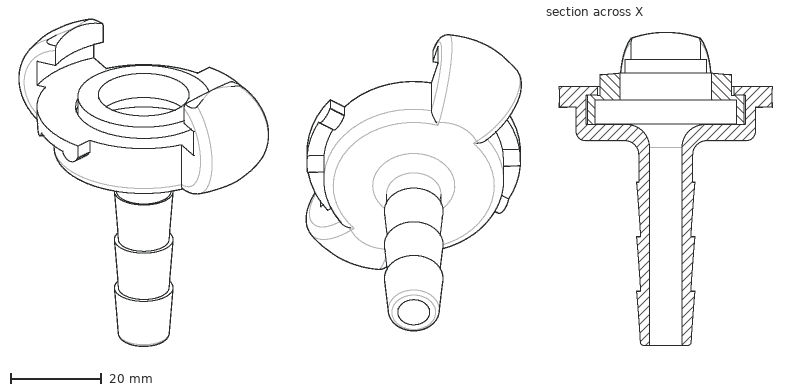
import cadquery as cq
import math

total_height = 68.9
jaw_radius = 12.0

flange_radius = 19.8
flange_fillet = 2.1
ramp_radius = 23.5
ramp_thickness = 3.0
bump_radius = 2.4
bump_height = -2.2
middle_bump_angle = 35.0

overall_length = 62.85
jaw_center = overall_length / 2 - jaw_radius
crown_radius = 20.7
crown_axis = overall_length / 2 - crown_radius
jaw_half_width_at_axis = 1.25
jaw_root = 11.7
jaw_taper = 18.0
jaw_fillet = 2.1
slot_radius = 25.5
slot_height = 5.9
tooth_radius = 21.0
tip_roof_radius = 22.75
jaw_top = math.sqrt(jaw_radius**2 - (tooth_radius - jaw_center)**2)

stem_bottom = jaw_top - total_height
stem_radius = 6.0
stem_fillet = 3.0
barb_count = 3
barb_length = 12.0
barb_top_radius = 6.5
barb_bottom_radius = 5.6
tip_fillet = 0.8

bore_radius = 3.5
mouth_radius = 8.7
seat_floor = -8.35
seat_mouth_radius = 30.0 / 2
seat_groove_radius = 35.0 / 2
seat_groove_top = -2.0

gasket_neck_radius = 29.0 / 2
gasket_flange_radius = 34.5 / 2
gasket_bore_radius = 10.0
gasket_undercut_radius = 15.6
gasket_undercut_top = -3.0
gasket_inner_top = 2.95
gasket_outer_top = 2.55


def cylinder(radius, bottom, top):
    return cq.Workplane("XY").workplane(offset=bottom).circle(radius).extrude(top - bottom)


def half_turn(shape):
    return shape.rotate((0, 0, 0), (0, 0, 1), 180)


def make_flange():
    disc = cylinder(flange_radius, -jaw_radius, 0)
    return disc.faces("<Z").edges().fillet(flange_fillet)


def make_detent(angle):
    """Half-round bar running radially outward, turned from -Y by the given angle."""
    bar = cq.Workplane("XZ").center(0, bump_height).circle(bump_radius).extrude(2 * ramp_radius)
    return bar.rotate((0, 0, 0), (0, 0, 1), -angle)


def make_ramp():
    """Quarter ramp from its end detent near -Y round to the -X jaw."""
    quarter = (
        cq.Workplane("XY")
        .workplane(offset=-jaw_radius)
        .moveTo(bump_radius, 0)
        .lineTo(bump_radius, -2 * ramp_radius)
        .lineTo(-2 * ramp_radius, -2 * ramp_radius)
        .lineTo(-2 * ramp_radius, 0)
        .close()
        .extrude(jaw_radius)
    )
    detents = make_detent(0).union(make_detent(middle_bump_angle))
    plate = cylinder(ramp_radius, -ramp_thickness, 0)
    detents = detents.intersect(cylinder(ramp_radius, -jaw_radius, 0))
    return plate.union(detents).intersect(quarter)


def make_tip_roof():
    """Round bar along X whose crest touches the jaw tip and leaves its two facets."""
    return (
        cq.Workplane("YZ")
        .center(0, jaw_top - tip_roof_radius)
        .circle(tip_roof_radius)
        .extrude(overall_length)
    )


def make_jaw():
    """Hook at +X with a crowned back and tapered sides, hollowed above the flange."""
    barrel = (
        cq.Workplane("XZ")
        .moveTo(crown_axis, -jaw_radius)
        .lineTo(jaw_center, -jaw_radius)
        .threePointArc((jaw_center + jaw_radius, 0), (jaw_center, jaw_radius))
        .lineTo(crown_axis, jaw_radius)
        .close()
        .revolve(360, (crown_axis, 0, 0), (crown_axis, 1, 0))
    )
    slope = math.tan(math.radians(jaw_taper))
    root_half_width = jaw_half_width_at_axis + jaw_root * slope
    outer_half_width = jaw_half_width_at_axis + overall_length * slope
    wedge = (
        cq.Workplane("XY")
        .workplane(offset=-overall_length)
        .moveTo(jaw_root, -root_half_width)
        .lineTo(overall_length, -outer_half_width)
        .lineTo(overall_length, outer_half_width)
        .lineTo(jaw_root, root_half_width)
        .close()
        .extrude(2 * overall_length)
    )
    jaw = barrel.intersect(wedge)
    side_faces = jaw.faces("%PLANE").faces("not (|X or |Z)")
    rims = side_faces.edges("not |Z")
    jaw = rims.fillet(jaw_fillet)
    jaw = jaw.intersect(make_tip_roof())
    jaw = jaw.cut(cylinder(slot_radius, 0, slot_height))
    return jaw.cut(cylinder(tooth_radius, 0, 2 * jaw_radius))


def make_stem():
    root = -jaw_radius
    barbs_top = stem_bottom + barb_count * barb_length
    fillet_middle = stem_fillet * (1 - math.sqrt(0.5))
    profile = (
        cq.Workplane("XZ")
        .moveTo(0, seat_floor)
        .lineTo(stem_radius + stem_fillet, seat_floor)
        .lineTo(stem_radius + stem_fillet, root)
        .threePointArc(
            (stem_radius + fillet_middle, root - fillet_middle),
            (stem_radius, root - stem_fillet),
        )
        .lineTo(stem_radius, barbs_top)
    )
    for index in range(barb_count):
        barb_top = barbs_top - index * barb_length
        profile = profile.lineTo(barb_top_radius, barb_top)
        profile = profile.lineTo(barb_bottom_radius, barb_top - barb_length)
    stem = profile.lineTo(0, stem_bottom).close().revolve(360, (0, 0, 0), (0, 1, 0))
    return stem.faces("<Z").edges().fillet(tip_fillet)


def make_bore():
    """Through bore with a rounded mouth, opening into the undercut gasket seat."""
    mouth_round = mouth_radius - bore_radius
    mouth_middle = mouth_round * (1 - math.sqrt(0.5))
    return (
        cq.Workplane("XZ")
        .moveTo(0, stem_bottom)
        .lineTo(bore_radius, stem_bottom)
        .lineTo(bore_radius, seat_floor - mouth_round)
        .threePointArc(
            (bore_radius + mouth_middle, seat_floor - mouth_middle),
            (mouth_radius, seat_floor),
        )
        .lineTo(seat_groove_radius, seat_floor)
        .lineTo(seat_groove_radius, seat_groove_top)
        .lineTo(seat_mouth_radius, seat_groove_top)
        .lineTo(seat_mouth_radius, 0)
        .lineTo(0, 0)
        .close()
        .revolve(360, (0, 0, 0), (0, 1, 0))
    )


def make_coupling():
    jaw = make_jaw()
    ramp = make_ramp()
    body = make_flange().union(make_stem())
    for feature in (ramp, half_turn(ramp), jaw, half_turn(jaw)):
        body = body.union(feature)
    return body.cut(make_bore())


def make_gasket():
    """Sealing ring with a retaining flange that stands on the seat floor."""
    return (
        cq.Workplane("XZ")
        .moveTo(gasket_bore_radius, gasket_inner_top)
        .lineTo(gasket_neck_radius, gasket_outer_top)
        .lineTo(gasket_neck_radius, seat_groove_top)
        .lineTo(gasket_flange_radius, seat_groove_top)
        .lineTo(gasket_flange_radius, seat_floor)
        .lineTo(gasket_undercut_radius, seat_floor)
        .lineTo(gasket_undercut_radius, gasket_undercut_top)
        .lineTo(gasket_bore_radius, gasket_undercut_top)
        .close()
        .revolve(360, (0, 0, 0), (0, 1, 0))
    )


coupling = make_coupling()
gasket = make_gasket()
result = cq.Compound.makeCompound([coupling.solids().val(), gasket.val()])